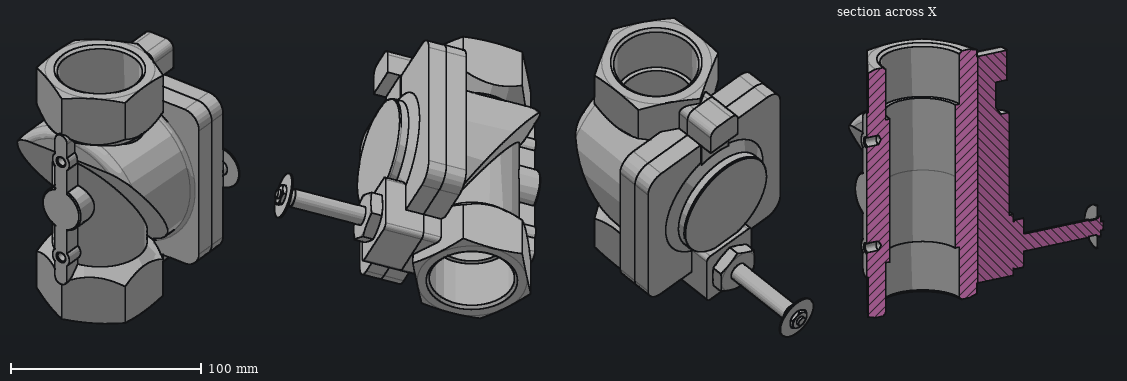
import cadquery as cq
import math


port_half_length = 70.0
hex_across_flats = 58.0
hex_end_face_radius = 28.9
hex_end_chamfer_angle = 17.0
neck_radius = 25.0
neck_half_length = 37.3
thread_radius = 44.8 / 2
thread_depth = 29.7
thread_chamfer = 1.6
bore_radius = 20.0

chamber_radius = 43.5
chamber_front_y = -27.3
chamber_edge_fillet = 5.2
chamber_root_fillet = 1.9
slant_front_z = 29.0
slant_rear_z = -40.7

flange_size = 96.0
flange_corner_radius = 9.5
flange_front_y = 22.8
split_y = 34.1
flange_rear_y = 44.1

rib_front_y = -34.2
rib_root_y = -21.0
rib_width = 7.8
rib_length = 92.8
rib_pad_radius = 5.5
screw_spacing = 59.5
screw_heights = (-screw_spacing / 2, screw_spacing / 2)
screw_radius = 2.5
screw_rim_radius = 3.0
screw_depth = 7.2
screw_tip_angle = 118.0
hub_radius = 12.5
hub_chamfer = 0.7

lug_width = 19.7
lug_top_z = 65.0
lug_rear_y = 51.8
lug_side_fillet = 5.0
lug_pad_rear_y = 44.8
block_width = 32.5
block_bottom_z = -62.8
block_top_z = -28.1
block_rear_y = 55.5
block_side_fillet = 2.6

dome_base_radius = 35.2
dome_disc_radius = 29.7
dome_disc_start_y = 48.0
dome_disc_rear_y = 53.0
dome_disc_chamfer_length = 0.9
dome_disc_chamfer_width = 0.3

stem_z = (block_bottom_z + block_top_z) / 2
stem_hex_across_flats = 24.0
stem_hex_rear_y = 62.2
nut_chamfer = 0.5
stem_radius = 10.0 / 2
stem_shoulder_y = 102.0
stem_neck_radius = 4.5
washer_radius = 12.0
washer_front_y = 106.3
washer_rear_y = 107.2
nut_across_flats = 10.0
nut_rear_y = 109.3
tip_radius = 2.5
tip_rear_y = 110.8


def hex_corner_radius(across_flats):
    return across_flats / math.sqrt(3)


def sketch_plane(y_start, y_end):
    """XZ workplane at y_start and the signed distance that extrudes it to y_end."""
    return cq.Workplane("XZ", origin=(0, y_start, 0)), y_start - y_end


def cylinder_along_y(radius, y_start, y_end, z=0.0):
    plane, distance = sketch_plane(y_start, y_end)
    return plane.center(0, z).circle(radius).extrude(distance)


def box_along_y(width, z_bottom, z_top, y_start, y_end):
    plane, distance = sketch_plane(y_start, y_end)
    return plane.center(0, (z_bottom + z_top) / 2).rect(width, z_top - z_bottom).extrude(distance)


def hex_along_y(across_flats, y_start, y_end, z):
    """Hexagonal prism along Y with its corners pointing up and down, and bevelled at both ends."""
    plane, distance = sketch_plane(y_start, y_end)
    corner_radius = hex_corner_radius(across_flats)
    prism = plane.transformed(rotate=(0, 0, 90)).polygon(6, 2 * corner_radius).extrude(distance)
    envelope = revolve_about_y([
        (0, y_start),
        (across_flats / 2, y_start),
        (corner_radius, y_start + nut_chamfer),
        (corner_radius, y_end - nut_chamfer),
        (across_flats / 2, y_end),
        (0, y_end),
    ])
    return prism.intersect(envelope).translate((0, 0, z))


def revolve_about_y(points):
    return cq.Workplane("XY").polyline(points).close().revolve(360, (0, 0), (0, 1))


def revolve_about_z(points):
    return cq.Workplane("XZ").polyline(points).close().revolve(360, (0, 0), (0, 1))


def flange(y_start, y_end):
    half = flange_size / 2
    return box_along_y(flange_size, -half, half, y_start, y_end).edges("|Y").fillet(flange_corner_radius)


def upper_lug():
    """Lug above the flange; its front end runs into the flank of the upper port hexagon."""
    lug = box_along_y(lug_width, flange_size / 2, lug_top_z, flange_front_y, lug_rear_y)
    return lug.edges("|Y and >Z").fillet(lug_side_fillet)


def pilot_block():
    """Block that carries the stem; its front end runs into the flank of the lower port hexagon."""
    block = box_along_y(block_width, block_bottom_z, block_top_z, flange_front_y, block_rear_y)
    return block.edges("|Y").fillet(block_side_fillet)


def attachments(y_start, y_end):
    """The stretches of the lug and the pilot block that lie between two Y positions."""
    slab = box_along_y(flange_size, -flange_size, flange_size, y_start, y_end)
    return upper_lug().intersect(slab), pilot_block().intersect(slab)


def chamber():
    """Drum with a rounded front edge and a concave fillet at the flange, cut by the slanted plane."""
    root_y = flange_front_y - chamber_root_fillet
    root_radius = chamber_radius + chamber_root_fillet
    arc_offset = chamber_root_fillet * (1 - math.cos(math.radians(45)))
    arc_middle = (chamber_radius + arc_offset, flange_front_y - arc_offset)
    drum = (
        cq.Workplane("XY")
        .moveTo(0, chamber_front_y)
        .lineTo(chamber_radius, chamber_front_y)
        .lineTo(chamber_radius, root_y)
        .threePointArc(arc_middle, (root_radius, flange_front_y))
        .lineTo(0, flange_front_y)
        .close()
        .revolve(360, (0, 0), (0, 1))
    )
    drum = drum.faces("<Y").edges().fillet(chamber_edge_fillet)
    below_z = -2 * chamber_radius
    slant = (
        cq.Workplane("YZ")
        .polyline([
            (chamber_front_y, slant_front_z),
            (flange_front_y, slant_rear_z),
            (flange_front_y, below_z),
            (chamber_front_y, below_z),
        ])
        .close()
        .extrude(2 * chamber_radius, both=True)
    )
    return drum.cut(slant)


def port():
    """Upper port: hexagon coned at 45 degrees down to the neck and chamfered at its open end."""
    corner_radius = hex_corner_radius(hex_across_flats)
    prism = (
        cq.Workplane("XY", origin=(0, 0, neck_half_length))
        .transformed(rotate=(0, 0, 90))
        .polygon(6, 2 * corner_radius)
        .extrude(port_half_length - neck_half_length)
    )
    cone_rise = corner_radius - neck_radius
    end_drop = (corner_radius - hex_end_face_radius) * math.tan(math.radians(hex_end_chamfer_angle))
    envelope = revolve_about_z([
        (0, neck_half_length),
        (neck_radius, neck_half_length),
        (corner_radius, neck_half_length + cone_rise),
        (corner_radius, port_half_length - end_drop),
        (hex_end_face_radius, port_half_length),
        (0, port_half_length),
    ])
    return prism.intersect(envelope)


def flow_bore():
    """Through bore with a wider, chamfered thread recess at each end."""
    thread_end = port_half_length - thread_depth
    chamfer_start = port_half_length - thread_chamfer
    upper_half = revolve_about_z([
        (0, 0),
        (bore_radius, 0),
        (bore_radius, thread_end),
        (thread_radius, thread_end),
        (thread_radius, chamfer_start),
        (thread_radius + thread_chamfer, port_half_length),
        (0, port_half_length),
    ])
    return upper_half.union(upper_half.mirror("XY"))


def mounting_rib():
    plane, distance = sketch_plane(rib_front_y, rib_root_y)
    rib = plane.slot2D(rib_length, rib_width, 90).extrude(distance)
    hub = cylinder_along_y(hub_radius, rib_front_y, rib_root_y).faces("<Y").chamfer(hub_chamfer)
    rib = rib.union(hub)
    for z in screw_heights:
        rib = rib.union(cylinder_along_y(rib_pad_radius, rib_front_y, rib_root_y, z))
    return rib


def screw_hole(z):
    """Blind hole with a small countersink and a drilled point."""
    countersink_y = rib_front_y + screw_rim_radius - screw_radius
    wall_end_y = rib_front_y + screw_depth
    tip_y = wall_end_y + screw_radius / math.tan(math.radians(screw_tip_angle / 2))
    hole = revolve_about_y([
        (0, rib_front_y),
        (screw_rim_radius, rib_front_y),
        (screw_radius, countersink_y),
        (screw_radius, wall_end_y),
        (0, tip_y),
    ])
    return hole.translate((0, 0, z))


def make_valve_body():
    body = chamber().union(flange(flange_front_y, split_y))
    neck = cq.Workplane("XY").circle(neck_radius).extrude(neck_half_length, both=True)
    upper_port = port()
    body = body.union(neck).union(upper_port).union(upper_port.mirror("XY"))
    for piece in attachments(flange_front_y, split_y):
        body = body.union(piece)
    body = body.union(mounting_rib())
    for z in screw_heights:
        body = body.cut(screw_hole(z))
    return body.cut(flow_bore())


def dome():
    chamfer_start_y = dome_disc_rear_y - dome_disc_chamfer_length
    return revolve_about_y([
        (0, split_y),
        (dome_base_radius, split_y),
        (dome_base_radius, flange_rear_y),
        (dome_disc_radius, dome_disc_start_y),
        (dome_disc_radius, chamfer_start_y),
        (dome_disc_radius - dome_disc_chamfer_width, dome_disc_rear_y),
        (0, dome_disc_rear_y),
    ])


def stem():
    """Hexagon, tube, washer, nut and tip in a row along Y."""
    hexagon = hex_along_y(stem_hex_across_flats, block_rear_y, stem_hex_rear_y, stem_z)
    pieces_behind = [
        cylinder_along_y(stem_radius, stem_hex_rear_y, stem_shoulder_y, stem_z),
        cylinder_along_y(stem_neck_radius, stem_shoulder_y, washer_front_y, stem_z),
        cylinder_along_y(washer_radius, washer_front_y, washer_rear_y, stem_z),
        hex_along_y(nut_across_flats, washer_rear_y, nut_rear_y, stem_z),
        cylinder_along_y(tip_radius, nut_rear_y, tip_rear_y, stem_z),
    ]
    assembled = hexagon
    for piece in pieces_behind:
        assembled = assembled.union(piece)
    return assembled


def make_cover():
    cover = flange(split_y, flange_rear_y).union(dome())
    lug_pad = box_along_y(lug_width, dome_disc_radius, flange_size / 2, flange_rear_y, lug_pad_rear_y)
    cover = cover.union(lug_pad)
    for piece in attachments(split_y, block_rear_y):
        cover = cover.union(piece)
    return cover.union(stem())


valve_body = make_valve_body()
cover = make_cover()

result = cq.Compound.makeCompound([valve_body.val(), cover.val()])